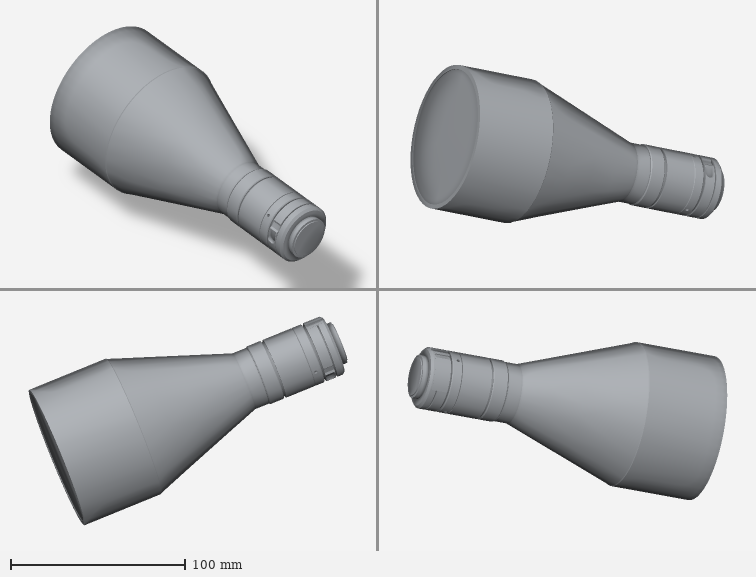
import cadquery as cq
import math


HOOD_RADIUS = 42.0
BARREL_RADIUS = 17.9
NECK_RADIUS = 17.3
GROOVE_RADIUS = 16.3
MOUNT_RADIUS = 12.6
MOUNT_TIP_RADIUS = 11.1
EDGE_CHAMFER = 0.5
END_CHAMFER = 1.4

HOOD_END = 47.6
CONE_SHOULDER = 0.4
CONE_END = 116.2
NECK_END = 124.5
FIRST_RING_START = 124.9
FIRST_RING_END = 133.9
BARREL_START = 135.2
BARREL_END = 153.0
SCREW_RING_END = 159.1
LOCK_RING_START = 160.3
LOCK_RING_END = 166.2
END_RING_START = 167.1
END_RING_END = 172.0
MOUNT_END = 175.3
TOTAL_LENGTH = 175.92

LENS_RADIUS = 39.5
LENS_EDGE_DEPTH = 0.6
LENS_BULGE = 0.5

SCREW_COUNT = 3
SCREW_FIRST_ANGLE = 17.0
SCREW_HOLE_RADIUS = 1.0
SCREW_HOLE_DEPTH = 1.5
SCREW_X = 155.5

WINDOW_START = 160.8
WINDOW_WIDTH = 4.6
WINDOW_TOP = 7.4
WINDOW_BOTTOM = -0.2
WINDOW_FLOOR_RADIUS = 15.8
WINDOW_TAPER = 20.0

SHELF_LOW = 7.7
SHELF_HIGH = 12.1
SHELF_WALL_RUN = 1.1
SHELF_FLOOR_RADIUS = 16.9

PAD_HALF_ANGLE = 50.0
PAD_RADIUS = BARREL_RADIUS + 0.1
PAD_END = 169.8
LONG_SLOT_ANGLE = 38.0
LONG_SLOT_END = 171.0
SHORT_SLOT_ANGLE = 20.5
SLOT_WIDTH = 3.2
SLOT_FLOOR_RADIUS = 17.2


def at_angle(shape, angle):
    """Turn a shape about the lens axis; 0 is +Y and 90 is +Z."""
    return shape.rotate((0, 0, 0), (1, 0, 0), angle)


def ring(start, end, radius, chamfer=0.0):
    """Solid disc along the axis with optional chamfers on both rims."""
    disc = cq.Workplane("YZ").workplane(offset=start).circle(radius).extrude(end - start)
    if chamfer:
        disc = disc.edges().chamfer(chamfer)
    return disc


def lens_midpoint():
    """Point halfway along the spherical lens profile."""
    sphere_radius = (LENS_RADIUS**2 + LENS_BULGE**2) / (2 * LENS_BULGE)
    half_angle = math.asin(LENS_RADIUS / sphere_radius) / 2
    apex = LENS_EDGE_DEPTH - LENS_BULGE
    return apex + sphere_radius * (1 - math.cos(half_angle)), sphere_radius * math.sin(half_angle)


def make_hood_and_cone():
    """Hood with the slightly sunken convex front lens, and the cone down to the neck."""
    cone_start_radius = HOOD_RADIUS - CONE_SHOULDER
    return (
        cq.Workplane("XY")
        .moveTo(LENS_EDGE_DEPTH - LENS_BULGE, 0)
        .threePointArc(lens_midpoint(), (LENS_EDGE_DEPTH, LENS_RADIUS))
        .lineTo(0, LENS_RADIUS)
        .lineTo(0, HOOD_RADIUS)
        .lineTo(HOOD_END, HOOD_RADIUS)
        .lineTo(HOOD_END + CONE_SHOULDER, cone_start_radius)
        .lineTo(CONE_END, NECK_RADIUS)
        .lineTo(CONE_END, 0)
        .close()
        .revolve(360, (0, 0, 0), (1, 0, 0))
    )


def make_barrel():
    """Stack of rings and grooves from the neck to the camera mount."""
    barrel = ring(CONE_END, NECK_END, NECK_RADIUS)
    barrel = barrel.union(ring(NECK_END, BARREL_START, NECK_RADIUS - EDGE_CHAMFER))
    barrel = barrel.union(ring(FIRST_RING_START, FIRST_RING_END, BARREL_RADIUS, EDGE_CHAMFER))
    barrel = barrel.union(ring(BARREL_START, BARREL_END, BARREL_RADIUS))
    barrel = barrel.union(ring(BARREL_END, SCREW_RING_END, BARREL_RADIUS, EDGE_CHAMFER))
    barrel = barrel.union(ring(SCREW_RING_END, END_RING_START, GROOVE_RADIUS))
    barrel = barrel.union(ring(LOCK_RING_START, LOCK_RING_END, BARREL_RADIUS))
    end_ring = ring(END_RING_START, END_RING_END, BARREL_RADIUS)
    barrel = barrel.union(end_ring.faces(">X").edges().chamfer(END_CHAMFER))
    barrel = barrel.union(ring(END_RING_END, MOUNT_END, MOUNT_RADIUS))
    return barrel.union(ring(MOUNT_END, TOTAL_LENGTH, MOUNT_TIP_RADIUS))


def make_lock_pad():
    """Slightly raised sector that fills the groove between the lock ring and the end ring."""
    half_angle = math.radians(PAD_HALF_ANGLE)
    corner_y = PAD_RADIUS * math.cos(half_angle)
    corner_z = PAD_RADIUS * math.sin(half_angle)
    return (
        cq.Workplane("YZ")
        .workplane(offset=LOCK_RING_START)
        .lineTo(corner_y, corner_z)
        .threePointArc((PAD_RADIUS, 0), (corner_y, -corner_z))
        .close()
        .extrude(PAD_END - LOCK_RING_START)
    )


def make_pad_slot(angle, end):
    """Round-ended slot along the pad, open toward the screw ring."""
    radius = SLOT_WIDTH / 2
    straight_end = end - radius
    slot = (
        cq.Workplane("XZ", origin=(0, SLOT_FLOOR_RADIUS, 0))
        .moveTo(LOCK_RING_START, -radius)
        .lineTo(straight_end, -radius)
        .threePointArc((end, 0), (straight_end, radius))
        .lineTo(LOCK_RING_START, radius)
        .close()
        .extrude(-BARREL_RADIUS)
    )
    return at_angle(slot, angle)


def make_screw_holes():
    """Blind radial holes, evenly spaced around the screw ring."""
    holes = cq.Workplane("XY")
    for index in range(SCREW_COUNT):
        hole = (
            cq.Workplane("XZ", origin=(SCREW_X, BARREL_RADIUS - SCREW_HOLE_DEPTH, 0))
            .circle(SCREW_HOLE_RADIUS)
            .extrude(-BARREL_RADIUS)
        )
        holes = holes.add(at_angle(hole, SCREW_FIRST_ANGLE + index * 360 / SCREW_COUNT))
    return holes.combine()


def make_lever_window():
    """Round-bottomed window with flared walls, cut inward from -Y."""
    radius = WINDOW_WIDTH / 2
    middle = WINDOW_START + radius
    left = WINDOW_START
    right = WINDOW_START + WINDOW_WIDTH
    return (
        cq.Workplane("XZ", origin=(0, -WINDOW_FLOOR_RADIUS, 0))
        .moveTo(left, WINDOW_TOP)
        .lineTo(left, WINDOW_BOTTOM + radius)
        .threePointArc((middle, WINDOW_BOTTOM), (right, WINDOW_BOTTOM + radius))
        .lineTo(right, WINDOW_TOP)
        .close()
        .extrude(BARREL_RADIUS - WINDOW_FLOOR_RADIUS, taper=-WINDOW_TAPER)
    )


def make_shelf():
    """Flat-floored recess with sloped walls, cut across the lock ring."""
    low_angle = math.asin(SHELF_LOW / BARREL_RADIUS)
    high_angle = math.asin(SHELF_HIGH / BARREL_RADIUS)
    half_span = (high_angle - low_angle) / 2
    half_mouth = BARREL_RADIUS * math.sin(half_span)
    half_floor = half_mouth - SHELF_WALL_RUN
    mouth_radius = BARREL_RADIUS * math.cos(half_span)
    shelf = (
        cq.Workplane("YZ")
        .workplane(offset=LOCK_RING_START)
        .moveTo(SHELF_FLOOR_RADIUS, -half_floor)
        .lineTo(mouth_radius, -half_mouth)
        .lineTo(PAD_RADIUS, -half_mouth)
        .lineTo(PAD_RADIUS, half_mouth)
        .lineTo(mouth_radius, half_mouth)
        .lineTo(SHELF_FLOOR_RADIUS, half_floor)
        .close()
        .extrude(LOCK_RING_END - LOCK_RING_START)
    )
    return at_angle(shelf, 180 - math.degrees((low_angle + high_angle) / 2))


result = make_hood_and_cone().union(make_barrel()).union(make_lock_pad())
result = result.cut(make_pad_slot(LONG_SLOT_ANGLE, LONG_SLOT_END))
result = result.cut(make_pad_slot(SHORT_SLOT_ANGLE, PAD_END))
result = result.cut(make_screw_holes())
result = result.cut(make_lever_window())
result = result.cut(make_shelf())